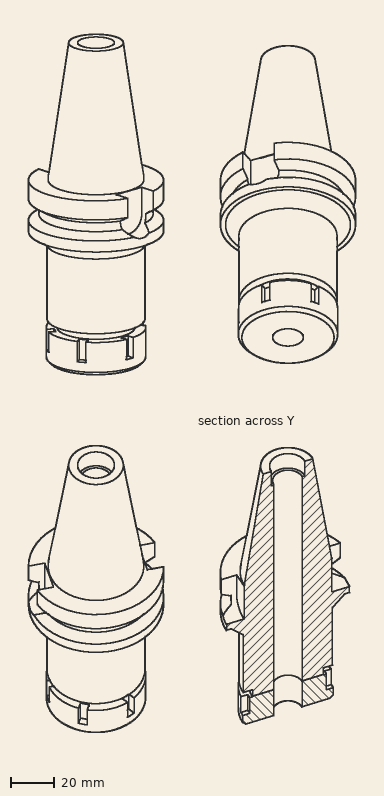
import cadquery as cq

total_height = 155.4
through_bore_radius = 7.1
cut_clearance = 1.5

nut_radius = 23.2
nut_height = 16.3
nut_chamfer = 1.7
wrench_slot_count = 6
wrench_slot_width = 4.2
wrench_slot_height = 10.0
wrench_slot_floor_radius = 19.6

neck_radius = 18.2
body_radius = 22.8
flare_radius = 29.0
flange_radius = 31.47
gripper_groove_radius = 26.5
taper_large_radius = 22.2
taper_small_radius = 12.7

body_bottom = 20.5
flare_top = 63.2
flare_bottom = flare_top - (flare_radius - body_radius)
lower_rim_top = 68.7
groove_bottom = 71.6
groove_top = 76.0
upper_rim_bottom = groove_top + (groove_bottom - lower_rim_top)
flange_top = 88.3
taper_bottom = 90.0

counterbore_radius = 8.5
counterbore_depth = 9.2

keyway_width = 16.2
keyway_floor = 22.5
keyway_arc_centre = 75.4
keyway_cut_depth = flange_radius - keyway_floor + cut_clearance


def make_holder_blank():
    """Solid of revolution: neck, body, grooved flange and steep taper."""
    profile = [
        (through_bore_radius, nut_height),
        (neck_radius, nut_height),
        (neck_radius, body_bottom),
        (body_radius, body_bottom),
        (body_radius, flare_bottom),
        (flare_radius, flare_top),
        (flange_radius, flare_top),
        (flange_radius, lower_rim_top),
        (gripper_groove_radius, groove_bottom),
        (gripper_groove_radius, groove_top),
        (flange_radius, upper_rim_bottom),
        (flange_radius, flange_top),
        (taper_large_radius, flange_top),
        (taper_large_radius, taper_bottom),
        (taper_small_radius, total_height),
        (counterbore_radius, total_height),
        (counterbore_radius, total_height - counterbore_depth),
        (through_bore_radius, total_height - counterbore_depth),
    ]
    return cq.Workplane("XZ").polyline(profile).close().revolve(360, (0, 0), (0, 1))


def make_keyway_cutter():
    """Round-bottomed slot on the +X side, open at the flange's top face."""
    half_width = keyway_width / 2
    return (
        cq.Workplane("YZ", origin=(keyway_floor, 0, 0))
        .moveTo(-half_width, flange_top)
        .lineTo(-half_width, keyway_arc_centre)
        .threePointArc((0, keyway_arc_centre - half_width), (half_width, keyway_arc_centre))
        .lineTo(half_width, flange_top)
        .close()
        .extrude(keyway_cut_depth)
    )


def make_holder():
    """Tool holder with its two opposite drive keyways."""
    holder_body = make_holder_blank()
    for angle in (0, 180):
        holder_body = holder_body.cut(make_keyway_cutter().rotate((0, 0, 0), (0, 0, 1), angle))
    return holder_body


def make_nut():
    """Clamping nut below the neck, chamfered at the bottom and slotted at the top."""
    nut_body = (
        cq.Workplane("XY")
        .circle(nut_radius)
        .extrude(nut_height)
        .faces("<Z")
        .chamfer(nut_chamfer)
        .cut(cq.Workplane("XY").circle(through_bore_radius).extrude(nut_height))
    )
    slot_outer_radius = nut_radius + cut_clearance
    slot_length = slot_outer_radius - wrench_slot_floor_radius
    slot_centre_radius = (slot_outer_radius + wrench_slot_floor_radius) / 2
    slots = (
        cq.Workplane("XY", origin=(0, 0, nut_height - wrench_slot_height))
        .polarArray(slot_centre_radius, 0, 360, wrench_slot_count)
        .rect(slot_length, wrench_slot_width)
        .extrude(wrench_slot_height)
    )
    return nut_body.cut(slots)


holder = make_holder()
nut = make_nut()
result = cq.Compound.makeCompound([holder.val(), nut.val()])